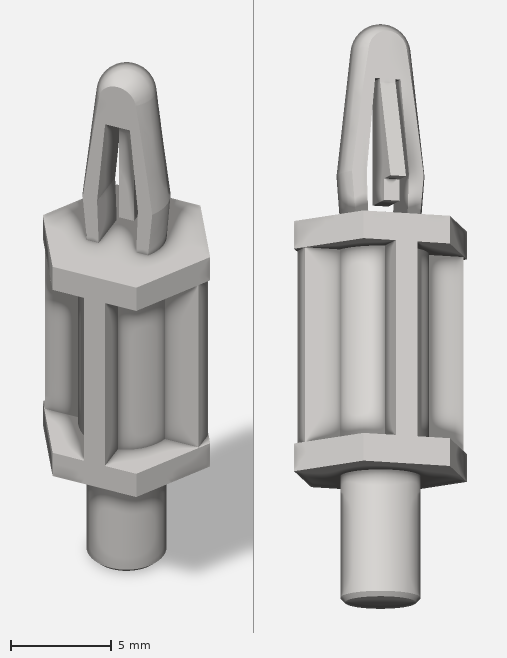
import cadquery as cq
import math

stud_diameter = 4.0
stud_length = 6.4
stud_chamfer = 0.23

hex_across_flats = 7.9
hex_across_corners = hex_across_flats / math.cos(math.radians(30))
flange_thickness = 1.4
body_length = 12.7
core_diameter = 4.83
rib_thickness = 1.15
rib_span_x = 8.38
rib_span_y = hex_across_flats

total_height = 29.3
clip_base_z = stud_length + body_length
clip_bulge_z = 21.6
clip_base_radius = stud_diameter / 2
clip_bulge_radius = 2.2
clip_neck_radius = 1.5
dome_height = 1.35
dome_base_z = total_height - dome_height
clip_thickness = 2.23

slot_top_z = 26.37
slot_base_half_width = 1.03
slot_bulge_half_width = 1.1
slot_top_half_width = 0.67

barb_width = 0.82
barb_inner_y = 0
barb_heel_y = 1.73
barb_tip_y = 2.7
barb_bottom_z = 20.1
barb_tip_z = 21.18
barb_emerge_z = 26.16
barb_root_radius = 1.05


def make_stud():
    stud = cq.Workplane("XY").circle(stud_diameter / 2).extrude(stud_length)
    return stud.faces("<Z").chamfer(stud_chamfer)


def make_flange(bottom_z):
    base = cq.Workplane("XY", origin=(0, 0, bottom_z))
    return base.polygon(6, hex_across_corners).extrude(flange_thickness)


def make_body():
    column = cq.Workplane("XY", origin=(0, 0, stud_length))
    body = column.circle(core_diameter / 2).extrude(body_length)
    body = body.union(column.rect(rib_span_x, rib_thickness).extrude(body_length))
    body = body.union(column.rect(rib_thickness, rib_span_y).extrude(body_length))
    for bottom_z in (stud_length, clip_base_z - flange_thickness):
        body = body.union(make_flange(bottom_z))
    return body


def make_clip_post():
    dome_radius = (clip_neck_radius**2 + dome_height**2) / (2 * dome_height)
    dome_center_z = total_height - dome_radius
    diagonal = dome_radius * math.sqrt(0.5)
    post = (
        cq.Workplane("XZ")
        .moveTo(0, clip_base_z)
        .lineTo(clip_base_radius, clip_base_z)
        .lineTo(clip_bulge_radius, clip_bulge_z)
        .lineTo(clip_neck_radius, dome_base_z)
        .threePointArc((diagonal, dome_center_z + diagonal), (0, total_height))
        .close()
        .revolve(360, (0, 0, 0), (0, 1, 0))
    )
    flat_sides = cq.Workplane("XY").box(
        2 * clip_bulge_radius, clip_thickness, total_height, centered=(True, True, False)
    )
    return post.intersect(flat_sides)


def make_slot():
    right_side = [
        (slot_base_half_width, clip_base_z),
        (slot_bulge_half_width, clip_bulge_z),
        (slot_top_half_width, slot_top_z),
    ]
    left_side = [(-x, z) for x, z in reversed(right_side)]
    outline = cq.Workplane("XZ").polyline(right_side + left_side).close()
    return outline.extrude(clip_thickness, both=True)


def make_barb():
    face_y = clip_thickness / 2
    root_y = barb_inner_y - barb_root_radius
    root_z = slot_top_z - barb_root_radius
    diagonal = barb_root_radius * math.sqrt(0.5)
    return (
        cq.Workplane("YZ")
        .moveTo(barb_inner_y, barb_bottom_z)
        .lineTo(barb_heel_y, barb_bottom_z)
        .lineTo(barb_heel_y, barb_tip_z)
        .lineTo(barb_tip_y, barb_tip_z)
        .lineTo(face_y, barb_emerge_z)
        .lineTo(face_y, slot_top_z)
        .lineTo(root_y, slot_top_z)
        .threePointArc((root_y + diagonal, root_z + diagonal), (barb_inner_y, root_z))
        .close()
        .extrude(barb_width / 2, both=True)
    )


clip = make_clip_post().cut(make_slot()).union(make_barb())
result = make_stud().union(make_body()).union(clip)